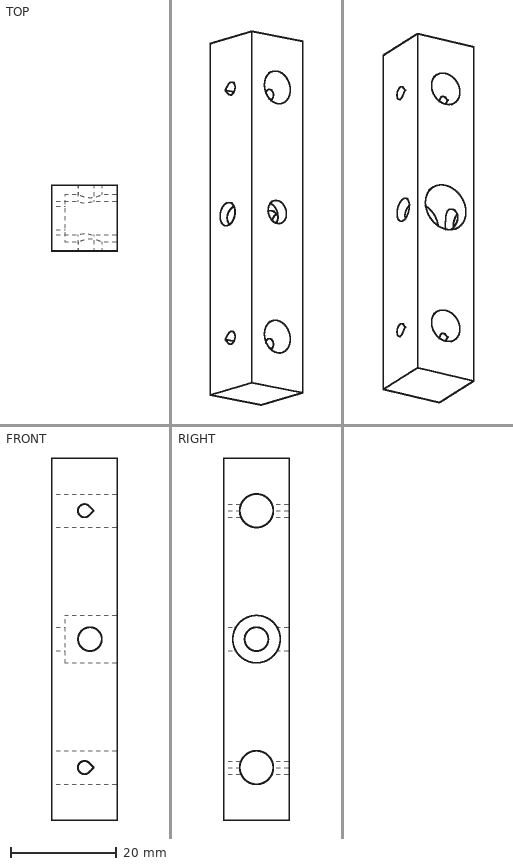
import cadquery as cq
import math

bar_width = 12.5
bar_length = 68.75

end_hole_spacing = 48.75
clamp_hole_diameter = 6.3
centre_hole_diameter = 4.5
pin_hole_diameter = 2.5
front_centre_hole_offset = 1.0

counterbore_diameter = 9.0
counterbore_depth = 10.0

end_heights = (-end_hole_spacing / 2, end_hole_spacing / 2)


def hole_along_x(diameter, z):
    return cq.Workplane("YZ").center(0, z).circle(diameter / 2).extrude(bar_width, both=True)


def hole_along_y(diameter, x, z):
    return cq.Workplane("XZ").center(x, z).circle(diameter / 2).extrude(bar_width, both=True)


def teardrop_along_y(diameter, z):
    """Round hole with a right-angled peak toward +X, its flanks tangent to the circle."""
    radius = diameter / 2
    tangent = radius * math.sqrt(0.5)
    peak = radius * math.sqrt(2)
    return (
        cq.Workplane("XZ")
        .center(0, z)
        .moveTo(tangent, tangent)
        .threePointArc((-radius, 0), (tangent, -tangent))
        .lineTo(peak, 0)
        .close()
        .extrude(bar_width, both=True)
    )


result = cq.Workplane("XY").box(bar_width, bar_width, bar_length)

for height in end_heights:
    result = result.cut(hole_along_x(clamp_hole_diameter, height))
    result = result.cut(teardrop_along_y(pin_hole_diameter, height))

result = result.cut(hole_along_x(centre_hole_diameter, 0))
result = result.cut(hole_along_y(centre_hole_diameter, front_centre_hole_offset, 0))

counterbore = (
    cq.Workplane("YZ", origin=(bar_width / 2 - counterbore_depth, 0, 0))
    .circle(counterbore_diameter / 2)
    .extrude(counterbore_depth)
)
result = result.cut(counterbore)